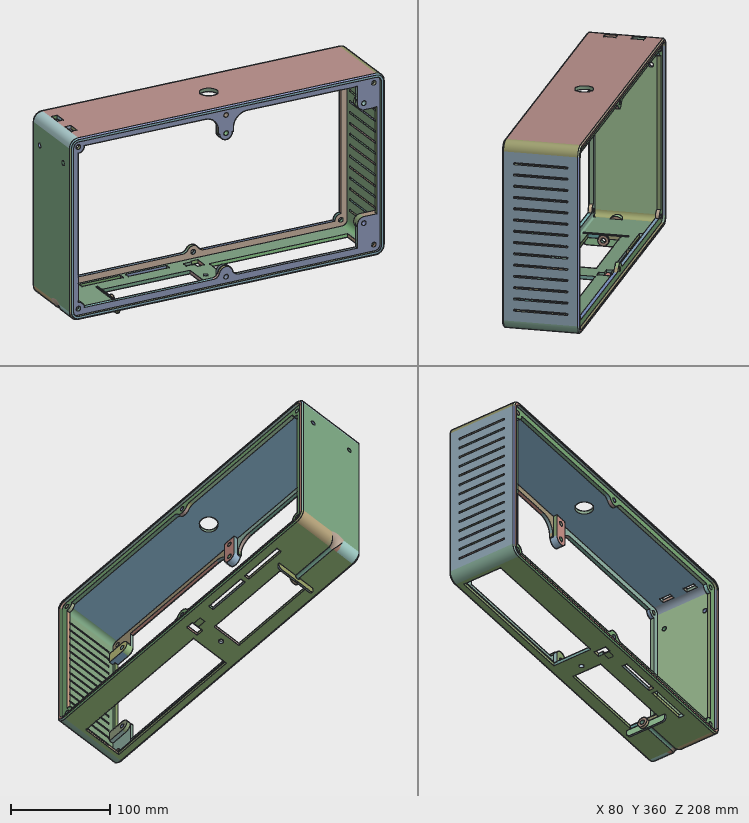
import cadquery as cq
import math

DEPTH, LENGTH, HEIGHT = 80.0, 360.0, 200.0
WALL = 4.0
CORNER_RADIUS = 10.0
RIM_EDGE = 1.5
RIM_WIDTH = 4.0
RIM_DEPTH = 3.0
FLANGE_THICKNESS = 4.0
FLANGE_WIDTH = 11.0
BACK_WINDOW_RELIEF = 3.5
FLANGE_FILLET = 2.0
OVERLAP = 1.0

X_BACK = DEPTH / 2
Y_SIDE = LENGTH / 2
Z_TOP = HEIGHT / 2
Z_FLOOR = WALL - Z_TOP
Y_WINDOW = Y_SIDE - FLANGE_WIDTH
Z_WINDOW = Z_TOP - FLANGE_WIDTH
BACK_FLANGE_OUTER = X_BACK - RIM_DEPTH
BACK_FLANGE_INNER = BACK_FLANGE_OUTER - FLANGE_THICKNESS

EYE_RADIUS = 7.0
EYE_BLEND = 7.0
SCREW_DIAMETER = 5.0

BOSS_RADIUS = 7.2
LOWER_LUG_RADIUS = 7.7
BOSS_LENGTH = 8.5
BOSS_FACE = BACK_FLANGE_OUTER - BOSS_LENGTH
BOSS_Y = 157.5
BOSS_TOP_Z = 69.0
BOSS_BOTTOM_Z = -63.0
CENTRE_BOSS_Z = -85.5
ARM_HALF_WIDTH = 8.5
ARM_BLEND = 15.5

CABLE_HOLE_DIAMETER = 19.0
TOP_SLOT_X, TOP_SLOT_Y = 13.0, 6.5
TOP_SLOT_OFFSET_X = 14.5
TOP_SLOT_CENTRE_Y = -165.25
SIDE_HOLE_OFFSET_X = 25.0
SIDE_HOLE_Z = 69.0
VENT_COUNT, VENT_PITCH = 14, 12.0
VENT_LENGTH, VENT_HEIGHT = 56.0, 2.0

LARGE_OPENING = (-13.5, 31.8, 8.0, 166.0)
SMALL_OPENING = (-8.3, 25.8, -118.0, -17.0)
CABLE_NOTCH = (-28.0, -13.7, -5.5, 2.5)
FLOOR_POCKET = (-26.0, -19.5, -15.0, -5.5)
FLOOR_POCKET_DEPTH = 3.0
FLOOR_SLOTS = [(-30.0, -24.2, -79.0, -32.0), (-30.0, -24.2, -132.0, -84.5)]
FLOOR_HOLE_X, FLOOR_HOLE_Y = 9.2, -8.4

TAB_X = 7.5
TAB_HALF_WIDTH = 23.5
TAB_DROP = 8.0
TAB_RIDGE = 0.7
TAB_BOTTOM = -Z_TOP - TAB_DROP
TAB_TOP = Z_FLOOR + TAB_RIDGE
TAB_CORNER = 4.0
TAB_FRONT_Y = -120.4
TAB_THICKNESS = 2.0
ACCESS_X, ACCESS_Z = 9.3, -101.0
ACCESS_HOLE_RADIUS = 2.6
ACCESS_FLARE = 11.4
ACCESS_LINING_RADIUS = 8.0
TAB_BOSS_RADIUS, TAB_BOSS_LENGTH = 5.7, 3.3


def box(x0, x1, y0, y1, z0, z1):
    return cq.Workplane("XY").box(x1 - x0, y1 - y0, z1 - z0, centered=False).translate((x0, y0, z0))


def rounded_bar(x0, x1, inset, radius):
    """Bar along X whose outline lies `inset` inside the housing's outline."""
    bar = box(x0, x1, inset - Y_SIDE, Y_SIDE - inset, inset - Z_TOP, Z_TOP - inset)
    return bar.edges("|X").fillet(radius)


def rod_x(y, z, radius, x0, x1):
    return cq.Workplane("YZ", origin=(x0, y, z)).circle(radius).extrude(x1 - x0)


def rod_y(x, z, radius, y0, y1):
    return cq.Workplane("XZ", origin=(x, y0, z)).circle(radius).extrude(y0 - y1)


def housing():
    shell = rounded_bar(-X_BACK, X_BACK, 0, CORNER_RADIUS)
    shell = shell.faces("<X or >X").edges().chamfer(RIM_EDGE)
    shell = shell.cut(rounded_bar(-BACK_FLANGE_INNER, BACK_FLANGE_INNER, WALL, CORNER_RADIUS - WALL))
    for x0, x1 in ((-X_BACK, -BACK_FLANGE_OUTER), (BACK_FLANGE_OUTER, X_BACK)):
        shell = shell.cut(rounded_bar(x0, x1, RIM_WIDTH, CORNER_RADIUS - RIM_WIDTH))
    shell = shell.cut(box(-X_BACK, X_BACK, -Y_WINDOW, Y_WINDOW, -Z_WINDOW, Z_WINDOW))
    relief_z = Z_WINDOW - EYE_RADIUS
    relief_y = Y_WINDOW + BACK_WINDOW_RELIEF
    return shell.cut(box(BACK_FLANGE_INNER, BACK_FLANGE_OUTER, Y_WINDOW, relief_y, -relief_z, relief_z))


def blended_eye(x0, x1, side, radius=EYE_RADIUS, rise=0.0):
    """Round lug at mid length, blended into the upper (1) or lower (-1) flange edge.

    Its centre lies `rise` inside the window, measured from the flange edge.
    """
    reach = radius + EYE_BLEND
    drop = EYE_BLEND - rise
    foot = math.sqrt(reach**2 - drop**2)
    touch_y = foot * radius / reach
    touch_depth = rise + drop * radius / reach
    mid_angle = (math.pi / 2 + math.atan2(drop, foot)) / 2
    mid_y = foot - EYE_BLEND * math.cos(mid_angle)
    mid_depth = EYE_BLEND * (1 - math.sin(mid_angle))

    def point(y, depth):
        return (y, side * (Z_WINDOW - depth))

    return (
        cq.Workplane("YZ", origin=(x0, 0, 0))
        .moveTo(*point(-foot, -OVERLAP))
        .lineTo(*point(-foot, 0))
        .threePointArc(point(-mid_y, mid_depth), point(-touch_y, touch_depth))
        .threePointArc(point(0, rise + radius), point(touch_y, touch_depth))
        .threePointArc(point(mid_y, mid_depth), point(foot, 0))
        .lineTo(*point(foot, -OVERLAP))
        .close()
        .extrude(x1 - x0)
    )


def flange_eyes(x0, x1):
    inside = box(x0, x1, -Y_WINDOW, Y_WINDOW, -Z_WINDOW, Z_WINDOW)
    eyes = blended_eye(x0, x1, 1).union(blended_eye(x0, x1, -1))
    for y in (-Y_WINDOW, Y_WINDOW):
        for z in (-Z_WINDOW, Z_WINDOW):
            eyes = eyes.union(rod_x(y, z, EYE_RADIUS, x0, x1).intersect(inside))
    return eyes


def side_boss(z, side):
    """Boss on the +Y wall with a plate joining it to the upper (1) or lower (-1) flange edge."""
    wall_y = Y_SIDE - WALL
    boss = rod_x(BOSS_Y, z, BOSS_RADIUS, BOSS_FACE, BACK_FLANGE_OUTER)
    boss = boss.union(box(BOSS_FACE, BACK_FLANGE_OUTER, BOSS_Y, wall_y, z - BOSS_RADIUS, z + BOSS_RADIUS))
    z0, z1 = sorted((z, side * Z_WINDOW))
    return boss.union(box(BACK_FLANGE_INNER, BACK_FLANGE_OUTER, BOSS_Y - BOSS_RADIUS, wall_y, z0, z1))


def upper_arm():
    """Boss at mid length hanging from the top wall, stiffened by a flared plate."""
    boss = rod_x(0, BOSS_TOP_Z, BOSS_RADIUS, BOSS_FACE, BACK_FLANGE_OUTER)
    boss = boss.union(box(BOSS_FACE, BACK_FLANGE_OUTER, -BOSS_RADIUS, BOSS_RADIUS, BOSS_TOP_Z, Z_TOP - WALL))
    flare = ARM_HALF_WIDTH + ARM_BLEND
    plate = box(BACK_FLANGE_INNER, BACK_FLANGE_OUTER, -flare, flare, BOSS_TOP_Z, Z_WINDOW)
    for side in (-1, 1):
        round_cut = rod_x(side * flare, Z_WINDOW - ARM_BLEND, ARM_BLEND, BACK_FLANGE_INNER, BACK_FLANGE_OUTER)
        y0, y1 = sorted((side * ARM_HALF_WIDTH, side * flare))
        below = box(BACK_FLANGE_INNER, BACK_FLANGE_OUTER, y0, y1, BOSS_TOP_Z, Z_WINDOW - ARM_BLEND)
        plate = plate.cut(round_cut).cut(below)
    return boss.union(plate)


def lower_boss():
    boss = rod_x(0, CENTRE_BOSS_Z, BOSS_RADIUS, BOSS_FACE, BACK_FLANGE_OUTER)
    boss = boss.union(box(BOSS_FACE, BACK_FLANGE_OUTER, -BOSS_RADIUS, BOSS_RADIUS, Z_FLOOR, CENTRE_BOSS_Z))
    rise = CENTRE_BOSS_Z + Z_WINDOW
    return boss.union(blended_eye(BACK_FLANGE_INNER, BACK_FLANGE_OUTER, -1, LOWER_LUG_RADIUS, rise))


def floor_fillet():
    """Concave fillet along the corner between the floor and the back flange."""
    reach = Y_SIDE - CORNER_RADIUS
    axis_x = BACK_FLANGE_INNER - FLANGE_FILLET
    axis_z = Z_FLOOR + FLANGE_FILLET
    strip = box(axis_x, BACK_FLANGE_INNER, -reach, reach, Z_FLOOR, axis_z)
    return strip.cut(rod_y(axis_x, axis_z, FLANGE_FILLET, -reach, reach))


def screw_holes():
    places = [(y, z) for y in (-Y_WINDOW, 0, Y_WINDOW) for z in (-Z_WINDOW, Z_WINDOW)]
    places += [(BOSS_Y, BOSS_TOP_Z), (BOSS_Y, BOSS_BOTTOM_Z), (0, BOSS_TOP_Z)]
    return (
        cq.Workplane("YZ", origin=(-X_BACK, 0, 0))
        .pushPoints(places)
        .circle(SCREW_DIAMETER / 2)
        .extrude(DEPTH)
    )


def top_openings():
    centres = [(side * TOP_SLOT_OFFSET_X, TOP_SLOT_CENTRE_Y) for side in (-1, 1)]
    plane = cq.Workplane("XY", origin=(0, 0, Z_TOP - WALL))
    slots = plane.pushPoints(centres).rect(TOP_SLOT_X, TOP_SLOT_Y).extrude(WALL)
    return slots.union(plane.circle(CABLE_HOLE_DIAMETER / 2).extrude(WALL))


def side_openings():
    """Two screw holes through the -Y wall and a stack of vents through the +Y wall."""
    holes = (
        cq.Workplane("XZ", origin=(0, WALL - Y_SIDE, 0))
        .pushPoints([(side * SIDE_HOLE_OFFSET_X, SIDE_HOLE_Z) for side in (-1, 1)])
        .circle(SCREW_DIAMETER / 2)
        .extrude(WALL)
    )
    vents = (
        cq.Workplane("XZ", origin=(0, Y_SIDE, 0))
        .rarray(1, VENT_PITCH, 1, VENT_COUNT)
        .slot2D(VENT_LENGTH, VENT_HEIGHT)
        .extrude(WALL)
    )
    return holes.union(vents)


def floor_openings():
    hole_plane = cq.Workplane("XY", origin=(FLOOR_HOLE_X, FLOOR_HOLE_Y, -Z_TOP))
    cuts = hole_plane.circle(SCREW_DIAMETER / 2).extrude(WALL)
    for outline in [LARGE_OPENING, SMALL_OPENING, CABLE_NOTCH] + FLOOR_SLOTS:
        cuts = cuts.union(box(*outline, -Z_TOP, Z_FLOOR))
    return cuts.union(box(*FLOOR_POCKET, Z_FLOOR - FLOOR_POCKET_DEPTH, Z_FLOOR))


def hanging_tab():
    back_y = TAB_FRONT_Y + TAB_THICKNESS
    tab = box(TAB_X - TAB_HALF_WIDTH, TAB_X + TAB_HALF_WIDTH, TAB_FRONT_Y, back_y, TAB_BOTTOM, TAB_TOP)
    tab = tab.edges("|Y and <Z").fillet(TAB_CORNER)
    return tab.union(rod_y(ACCESS_X, ACCESS_Z, TAB_BOSS_RADIUS, back_y, back_y + TAB_BOSS_LENGTH))


def access_lining():
    """Thicker wall around the screw access hole, inside the housing."""
    lining = rod_y(ACCESS_X, ACCESS_Z, ACCESS_LINING_RADIUS, -Y_SIDE, ACCESS_FLARE - Y_SIDE)
    return lining.intersect(rounded_bar(-X_BACK, X_BACK, 0, CORNER_RADIUS))


def access_hole():
    """Screw hole along Y through the tab, with a trumpet-shaped mouth in the -Y wall."""
    mouth_radius = ACCESS_HOLE_RADIUS + ACCESS_FLARE
    lean = ACCESS_FLARE * math.sqrt(0.5)
    mouth = (
        cq.Workplane("XY")
        .lineTo(mouth_radius, 0)
        .threePointArc((mouth_radius - lean, ACCESS_FLARE - lean), (ACCESS_HOLE_RADIUS, ACCESS_FLARE))
        .lineTo(0, ACCESS_FLARE)
        .close()
        .revolve(360, (0, 0, 0), (0, 1, 0))
        .translate((ACCESS_X, -Y_SIDE, ACCESS_Z))
    )
    hole_end = TAB_FRONT_Y + TAB_THICKNESS + TAB_BOSS_LENGTH
    return mouth.union(rod_y(ACCESS_X, ACCESS_Z, ACCESS_HOLE_RADIUS, -Y_SIDE, hole_end))


body = housing()
body = body.union(flange_eyes(-BACK_FLANGE_OUTER, -BACK_FLANGE_INNER))
body = body.union(flange_eyes(BACK_FLANGE_INNER, BACK_FLANGE_OUTER))
body = body.union(side_boss(BOSS_TOP_Z, 1))
body = body.union(side_boss(BOSS_BOTTOM_Z, -1))
body = body.union(upper_arm())
body = body.union(lower_boss())
body = body.union(floor_fillet())
body = body.union(access_lining())
body = body.cut(floor_openings())
body = body.union(hanging_tab())
body = body.cut(screw_holes())
body = body.cut(top_openings())
body = body.cut(side_openings())
result = body.cut(access_hole())